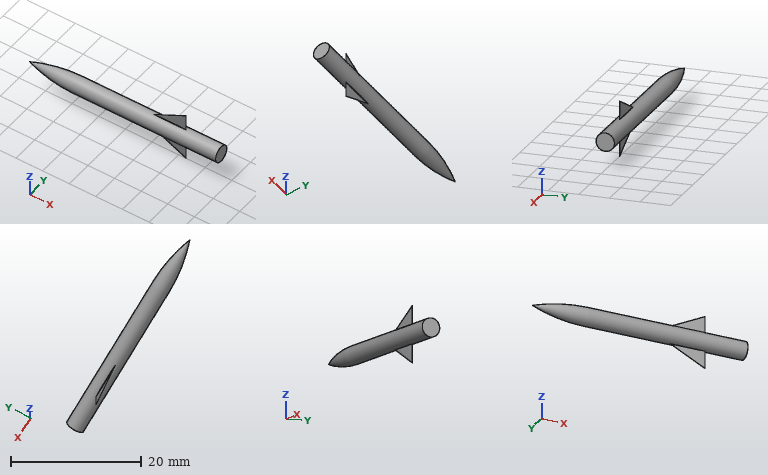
import cadquery as cq

total_length = 36.0
fin_span = 9.0
body_diameter = fin_span / 3
nose_length = total_length / 4
fin_trailing_x = 29.4
fin_thickness = 0.1

body_radius = body_diameter / 2
tip_height = fin_span / 2
exposed_height = tip_height - body_radius
exposed_chord = 2 * exposed_height

axis_scale = tip_height / exposed_height
axis_chord = exposed_chord * axis_scale
axis_half_thickness = fin_thickness * axis_scale / 2
axis_bevel = axis_chord / 4


def make_body():
    """Cylinder with a tangent ogive nose."""
    ogive_radius = (nose_length**2 + body_radius**2) / body_diameter
    middle_x = nose_length / 2
    middle_drop = ogive_radius - (ogive_radius**2 - (nose_length - middle_x) ** 2) ** 0.5
    return (
        cq.Workplane("XZ")
        .threePointArc((middle_x, body_radius - middle_drop), (nose_length, body_radius))
        .lineTo(total_length, body_radius)
        .lineTo(total_length, 0)
        .close()
        .revolve(360, (0, 0, 0), (1, 0, 0))
    )


def polygon_face(points):
    return cq.Face.makeFromWires(cq.Wire.makePolygon(points, close=True))


def make_fin(side):
    """Pyramid with a bevelled, six-sided root on the body axis; side is +1 or -1 along Z."""
    leading_x = fin_trailing_x - axis_chord
    front_x = leading_x + axis_bevel
    rear_x = fin_trailing_x - axis_bevel
    root = [
        cq.Vector(leading_x, 0, 0),
        cq.Vector(front_x, -axis_half_thickness, 0),
        cq.Vector(rear_x, -axis_half_thickness, 0),
        cq.Vector(fin_trailing_x, 0, 0),
        cq.Vector(rear_x, axis_half_thickness, 0),
        cq.Vector(front_x, axis_half_thickness, 0),
    ]
    tip = cq.Vector(fin_trailing_x, 0, side * tip_height)
    faces = [polygon_face(root)]
    for start, end in zip(root, root[1:] + root[:1]):
        faces.append(polygon_face([start, end, tip]))
    return cq.Solid.makeSolid(cq.Shell.makeShell(faces)).fix()


result = make_body()
for side in (1, -1):
    result = result.union(cq.Workplane(make_fin(side)))